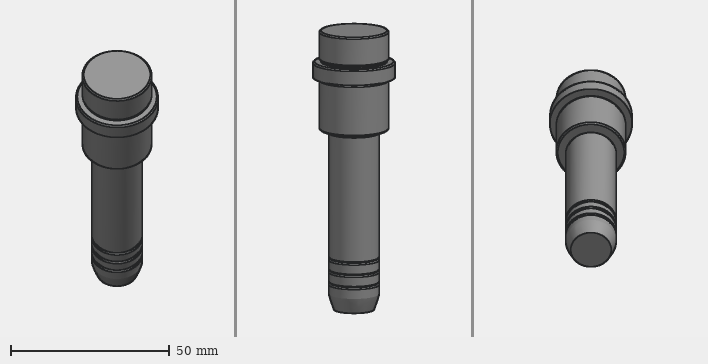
import cadquery as cq

LENGTH = 90.0
COLLAR_RADIUS = 26.0 / 2
BODY_RADIUS = 22.0 / 2
SHANK_RADIUS = 16.0 / 2

COLLAR_TOP = 80.0
COLLAR_BOTTOM = 75.0
BODY_BOTTOM = 58.0
TAPER_TOP = 5.0

EDGE = 0.5
RELIEF_DEPTH = 0.5
RELIEF_WIDTH = 1.0
COLLAR_GAP = 0.5

TIP_RADIUS = 6.6
TIP_EDGE_WIDTH = 0.2
TIP_EDGE_HEIGHT = 0.45
TIP_BULGE = 0.135

GROOVE_COUNT = 3
GROOVE_PITCH = 4.0
LOWEST_GROOVE = 8.55
GROOVE_DEPTH = 0.5


def cylinder(radius, bottom, top):
    return cq.Workplane("XY").workplane(offset=bottom).circle(radius).extrude(top - bottom)


def make_body():
    """Head and lower body, separated from the collar by two shallow reliefs."""
    head = cylinder(BODY_RADIUS, COLLAR_TOP + COLLAR_GAP, LENGTH).faces("<Z or >Z").chamfer(EDGE)
    lower = cylinder(BODY_RADIUS, BODY_BOTTOM, COLLAR_BOTTOM - COLLAR_GAP).faces("<Z or >Z").chamfer(EDGE)
    core = cylinder(BODY_RADIUS - RELIEF_DEPTH, BODY_BOTTOM, LENGTH - EDGE)
    collar = cylinder(COLLAR_RADIUS, COLLAR_BOTTOM, COLLAR_TOP).faces(">Z").chamfer(EDGE)
    return core.union(head).union(lower).union(collar)


def make_shank():
    """Shank with a bulged taper at the tip and a relief under the body."""
    tip_shoulder = TIP_RADIUS - TIP_EDGE_WIDTH
    taper_middle = (
        (TIP_RADIUS + SHANK_RADIUS) / 2 + TIP_BULGE,
        (TIP_EDGE_HEIGHT + TAPER_TOP) / 2,
    )
    relief_bottom = BODY_BOTTOM - RELIEF_WIDTH
    return (
        cq.Workplane("XZ")
        .moveTo(0, 0)
        .lineTo(tip_shoulder, 0)
        .lineTo(TIP_RADIUS, TIP_EDGE_HEIGHT)
        .threePointArc(taper_middle, (SHANK_RADIUS, TAPER_TOP))
        .lineTo(SHANK_RADIUS, relief_bottom)
        .lineTo(SHANK_RADIUS - RELIEF_DEPTH, relief_bottom)
        .lineTo(SHANK_RADIUS - RELIEF_DEPTH, BODY_BOTTOM)
        .lineTo(0, BODY_BOTTOM)
        .close()
        .revolve(360, (0, 0), (0, 1))
    )


def ring_groove(height):
    """Cutter for one V groove with 45 degree flanks."""
    return (
        cq.Workplane("XZ")
        .moveTo(SHANK_RADIUS - GROOVE_DEPTH, height)
        .lineTo(SHANK_RADIUS, height - GROOVE_DEPTH)
        .lineTo(SHANK_RADIUS, height + GROOVE_DEPTH)
        .close()
        .revolve(360, (0, 0), (0, 1))
    )


result = make_body().union(make_shank())
for index in range(GROOVE_COUNT):
    result = result.cut(ring_groove(LOWEST_GROOVE + index * GROOVE_PITCH))